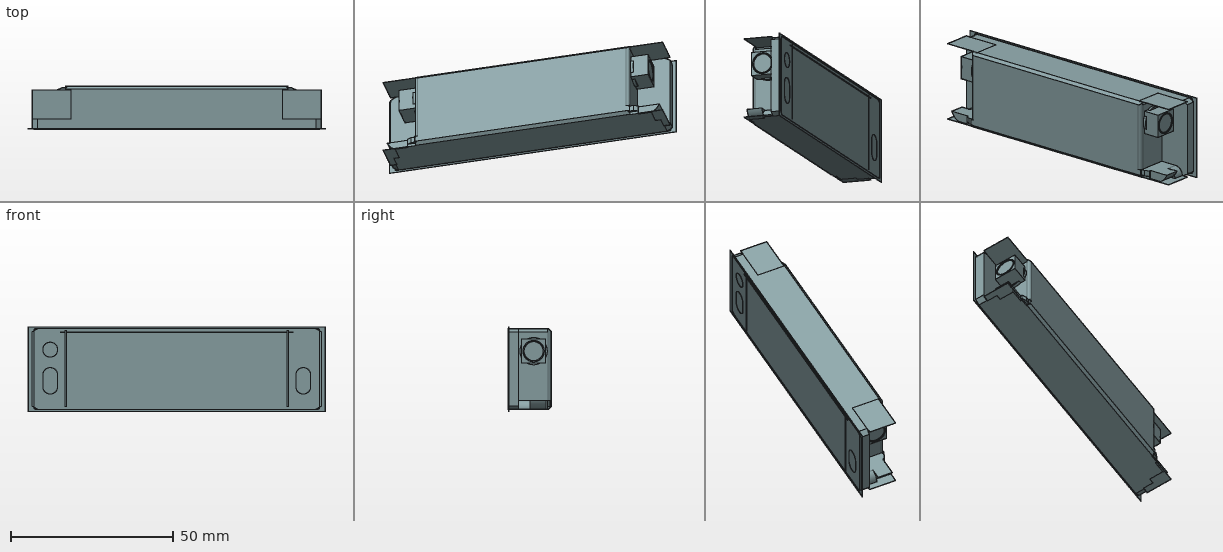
import cadquery as cq

LENGTH = 91.5
DEPTH = 13.3
HEIGHT = 26.2
FRONT = -DEPTH / 2
BACK = DEPTH / 2
SHEET = 0.1

CASE_HALF = LENGTH / 2 - 1.2
CASE_TOP = HEIGHT / 2 - 0.55
CASE_BOTTOM = -HEIGHT / 2 + 0.7
CASE_BACK = BACK - 1.1

PLATE_HALF = CASE_HALF - 0.55
PLATE_CORNER = 0.6

LABEL_HALF = 34.2
LABEL_TOP = 11.4
LABEL_BOTTOM = -11.5
GROOVE_DEPTH = 0.2
SIDE_GROOVE_WIDTH = 0.4
TOP_GROOVE_WIDTH = 0.2
SIDE_GROOVE_OVERRUN = 0.55
TOP_GROOVE_OVERRUN = 1.65

KNOCKOUT_X = 39.0
KNOCKOUT_DIAMETER = 4.6
KNOCKOUT_DEPTH = 0.1
ROUND_Z = 6.0
SLOT_Z = -3.6
SLOT_LENGTH = 8.1

CAP_BACK = FRONT + 3.2
WALL_X = 34.2
BEVEL_HEIGHT = 1.0
BEVEL_RUN = 1.7

LID_HALF = WALL_X
LID_CORNER = 0.9
LID_END_ROUND = 1.0

ENTRY_Y = 1.2
ENTRY_Z = 5.6
BOX_SIZE = 7.3
BOX_END_X = 39.7
COLLAR_DIAMETER = 8.4
COLLAR_LENGTH = 0.9
BORE_DIAMETER = 6.6
BORE_DEPTH = 0.1
INNER_BORE_DIAMETER = 5.9
INNER_BORE_DEPTH = 0.2

CLAMP_TOP = -HEIGHT / 2 + 3.5
RAMP_END_X = 42.6
BAR_END_X = 43.4
CLAMP_SPLIT_Y = 0.1
CLAMP_BACK = BACK - 1.65
RAMP_BULGE = 0.7
BAR_BULGE = 0.6
TAIL_TIP_X = 36.8
TAIL_SHOULDER_X = 35.4
TAIL_SHOULDER_DROP = 0.5


def block(x_range, y_range, z_range):
    """Box spanning the given pairs of coordinates."""
    spans = (x_range, y_range, z_range)
    sizes = [high - low for low, high in spans]
    corner = [low for low, high in spans]
    return cq.Workplane("XY").box(*sizes, centered=False).translate(tuple(corner))


def front_plane(y):
    """Plane facing -Y, with X to the right and Z up."""
    return cq.Workplane(cq.Plane(origin=(0, y, 0), xDir=(1, 0, 0), normal=(0, -1, 0)))


def end_plane(x):
    """Plane facing +X at the cable entry, with Y to the right and Z up."""
    return cq.Workplane(cq.Plane(origin=(x, ENTRY_Y, ENTRY_Z), xDir=(0, 1, 0), normal=(1, 0, 0)))


def both_ends(right_part):
    """Part for the +X end together with its mirror image at the -X end."""
    return right_part.union(right_part.mirror("YZ"))


def bevel_wedge(end_x, y_range):
    """Wedge that bevels the top edge of an end face at end_x."""
    profile = [
        (end_x - BEVEL_RUN, CASE_TOP),
        (end_x, CASE_TOP),
        (end_x, CASE_TOP - BEVEL_HEIGHT),
    ]
    y_front, y_back = y_range
    return front_plane(y_back).polyline(profile).close().extrude(y_back - y_front)


def make_case():
    """Case with beveled cap ends and an open compartment at each end."""
    case = block((-CASE_HALF, CASE_HALF), (FRONT + SHEET, CASE_BACK), (CASE_BOTTOM, CASE_TOP))
    compartment = block((WALL_X, CASE_HALF), (CAP_BACK, CASE_BACK), (CASE_BOTTOM, CASE_TOP))
    wall_bevel = bevel_wedge(WALL_X, (CAP_BACK, CASE_BACK))
    upper_cap_bevel = bevel_wedge(CASE_HALF, (FRONT, CAP_BACK))
    middle = (0, 0, (CASE_TOP + CASE_BOTTOM) / 2)
    lower_cap_bevel = upper_cap_bevel.mirror("XY", middle)
    for cutter in (compartment, wall_bevel, upper_cap_bevel, lower_cap_bevel):
        case = case.cut(both_ends(cutter))

    roof_start = WALL_X - BEVEL_RUN
    for z in (CASE_BOTTOM, CASE_TOP - SHEET):
        sheet = block((roof_start, CASE_HALF), (CAP_BACK, CASE_BACK), (z, z + SHEET))
        case = case.union(both_ends(sheet))
    return case


def make_front():
    """Thin flange with the raised, round-cornered face plate on it."""
    flange = block((-LENGTH / 2, LENGTH / 2), (FRONT + SHEET, FRONT + 2 * SHEET),
                   (-HEIGHT / 2, HEIGHT / 2))
    plate = block((-PLATE_HALF, PLATE_HALF), (FRONT, FRONT + SHEET), (CASE_BOTTOM, CASE_TOP))
    return flange.union(plate.edges("|Y").fillet(PLATE_CORNER))


def make_lid():
    """Back lid with beveled long edges and rounded ends."""
    lid = block((-LID_HALF, LID_HALF), (CASE_BACK, BACK), (CASE_BOTTOM, CASE_TOP))
    lid = lid.faces(">Y").edges("|X").chamfer(LID_CORNER)
    return lid.faces(">Y").edges("|Z").fillet(LID_END_ROUND)


def make_cable_entry():
    """Square box and round collar with a shallow stepped recess in the box end."""
    box = end_plane(WALL_X).rect(BOX_SIZE, BOX_SIZE).extrude(BOX_END_X - WALL_X)
    collar = end_plane(WALL_X).circle(COLLAR_DIAMETER / 2).extrude(COLLAR_LENGTH)
    bore = end_plane(BOX_END_X).circle(BORE_DIAMETER / 2).extrude(-BORE_DEPTH)
    inner_bore = end_plane(BOX_END_X).circle(INNER_BORE_DIAMETER / 2).extrude(-INNER_BORE_DEPTH)
    return box.union(collar).cut(bore).cut(inner_bore)


def make_clamp_bar(y_range, end_x, bulge, overhanging):
    """Bar with a rounded end that leans outward at its top or at its foot."""
    y_front, y_back = y_range
    height = CLAMP_TOP - CASE_BOTTOM
    near, far = (CASE_BOTTOM, CLAMP_TOP) if overhanging else (CLAMP_TOP, CASE_BOTTOM)
    round_start = end_x - height
    bulge_z = near + (far - near) * (1 - bulge)
    profile = (
        front_plane(y_back)
        .moveTo(WALL_X, near)
        .lineTo(round_start, near)
        .threePointArc((round_start + height * bulge, bulge_z), (end_x, far))
        .lineTo(WALL_X, far)
        .close()
    )
    return profile.extrude(y_back - y_front)


def make_clamp_tail():
    """Tapered tail that carries the clamp past the end of the lid."""
    root_x = LID_HALF - LID_END_ROUND
    outline = [
        (root_x, CASE_BACK),
        (TAIL_TIP_X, CASE_BACK),
        (TAIL_SHOULDER_X, BACK - TAIL_SHOULDER_DROP),
        (LID_HALF, BACK - TAIL_SHOULDER_DROP),
        (LID_HALF, BACK),
        (root_x, BACK),
    ]
    tail_foot = CASE_BOTTOM + LID_CORNER
    tail = cq.Workplane("XY").workplane(offset=tail_foot).polyline(outline).close()
    tail = tail.extrude(CLAMP_TOP - tail_foot)
    stem = block((WALL_X, TAIL_TIP_X), (CLAMP_BACK, CASE_BACK), (CASE_BOTTOM, CLAMP_TOP))
    return tail.union(stem)


def make_clamp():
    """Cable clamp: a ramp next to the cap, then an overhanging bar and its tail."""
    ramp = make_clamp_bar((CAP_BACK, CLAMP_SPLIT_Y), RAMP_END_X, RAMP_BULGE, overhanging=False)
    bar = make_clamp_bar((CLAMP_SPLIT_Y, CLAMP_BACK), BAR_END_X, BAR_BULGE, overhanging=True)
    return ramp.union(bar).union(make_clamp_tail())


def make_front_marks():
    """Label grooves and knockouts, as one cutter for the face plate."""
    side_top = LABEL_TOP + SIDE_GROOVE_OVERRUN
    side_z = (side_top + LABEL_BOTTOM) / 2
    grooves = (
        front_plane(FRONT)
        .pushPoints([(-LABEL_HALF, side_z), (LABEL_HALF, side_z)])
        .rect(SIDE_GROOVE_WIDTH, side_top - LABEL_BOTTOM)
        .extrude(-GROOVE_DEPTH)
    )
    top_length = 2 * (LABEL_HALF + TOP_GROOVE_OVERRUN)
    top_groove = front_plane(FRONT).center(0, LABEL_TOP).rect(top_length, TOP_GROOVE_WIDTH)
    slots = (
        front_plane(FRONT)
        .pushPoints([(-KNOCKOUT_X, SLOT_Z), (KNOCKOUT_X, SLOT_Z)])
        .slot2D(SLOT_LENGTH, KNOCKOUT_DIAMETER, 90)
        .extrude(-KNOCKOUT_DEPTH)
    )
    round_mark = front_plane(FRONT).center(-KNOCKOUT_X, ROUND_Z).circle(KNOCKOUT_DIAMETER / 2)
    marks = grooves.union(top_groove.extrude(-GROOVE_DEPTH))
    return marks.union(slots).union(round_mark.extrude(-KNOCKOUT_DEPTH))


body = make_case().union(make_front()).union(make_lid())
body = body.union(both_ends(make_cable_entry())).union(both_ends(make_clamp()))
result = body.cut(make_front_marks())